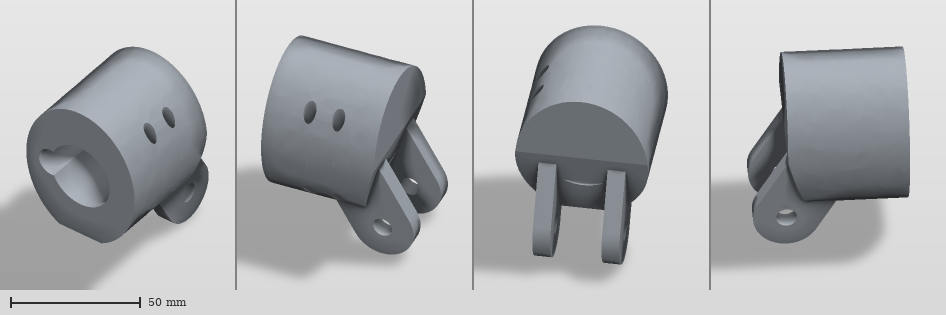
import cadquery as cq
import math

body_width = 52.0
body_height = 62.0
body_length = 47.0

bore_radius = 14.0
lobe_radius = 6.0
back_wall = 4.0

relief_start_z = 3.0
relief_angle = 15.0

lug_gap = 20.0
lug_thickness = 7.0
lug_radius = 13.0
lug_angle = 60.0
lug_reach = 37.5
pivot_hole_diameter = 8.0
pivot_z = -body_height / 2

side_hole_diameter = 5.0
side_hole_x = 20.0
side_hole_ys = (18.0, 30.0)

flat_z = -body_height / 2 * math.sqrt(1 - (lug_gap / body_width) ** 2)


def cylinder_along_y(radius, length, x=0):
    return cq.Workplane("XZ").center(x, 0).circle(radius).extrude(-length)


def make_body():
    """Elliptical cylinder with a bottom flat and a sloped lower back."""
    body = cq.Workplane("XZ").ellipse(body_width / 2, body_height / 2).extrude(-body_length)
    flat_cut = cq.Workplane("XY").workplane(offset=flat_z).rect(body_width, 2 * body_length)
    body = body.cut(flat_cut.extrude(-body_height))

    relief_drop = relief_start_z + body_height / 2
    relief_depth = relief_drop * math.tan(math.radians(relief_angle))
    relief = (
        cq.Workplane("YZ")
        .moveTo(body_length, relief_start_z)
        .lineTo(body_length, relief_start_z - relief_drop)
        .lineTo(body_length - relief_depth, relief_start_z - relief_drop)
        .close()
        .extrude(body_width / 2, both=True)
    )
    return body.cut(relief)


def make_lug(inner_x):
    """Round-ended arm rising from the pivot toward the front of the body."""
    pivot_plane = cq.Workplane("YZ", origin=(inner_x, body_length, pivot_z))
    arm = (
        pivot_plane.transformed(rotate=(0, 0, -lug_angle))
        .center(-lug_reach / 2, 0)
        .rect(lug_reach, 2 * lug_radius)
        .extrude(lug_thickness)
    )
    return arm.union(pivot_plane.circle(lug_radius).extrude(lug_thickness))


def make_pivot_hole():
    pivot_plane = cq.Workplane("YZ", origin=(0, body_length, pivot_z))
    return pivot_plane.circle(pivot_hole_diameter / 2).extrude(body_width / 2, both=True)


def make_bore():
    """Main bore joined with the smaller lobe centred on its -X edge."""
    depth = body_length - back_wall
    return cylinder_along_y(bore_radius, depth).union(cylinder_along_y(lobe_radius, depth, -bore_radius))


def make_side_holes():
    centres = [(side_hole_x, y) for y in side_hole_ys]
    holes = cq.Workplane("XY").pushPoints(centres).circle(side_hole_diameter / 2)
    return holes.extrude(body_height, both=True)


result = make_body()
for inner_x in (lug_gap / 2, -lug_gap / 2 - lug_thickness):
    result = result.union(make_lug(inner_x))
result = result.cut(make_pivot_hole()).cut(make_bore()).cut(make_side_holes())